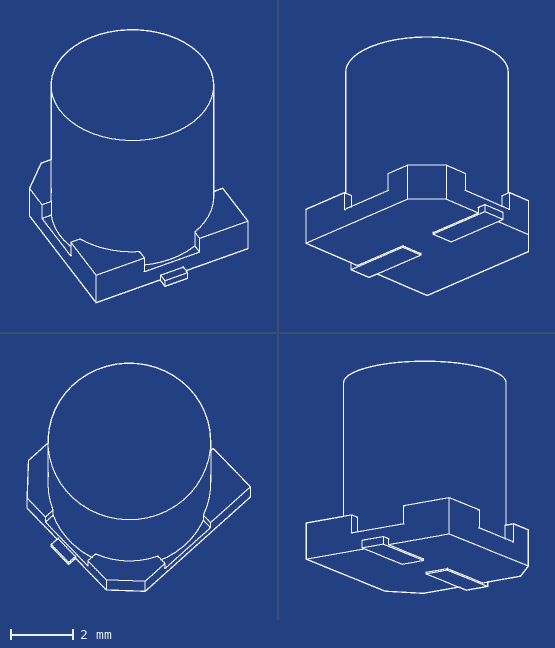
import cadquery as cq

total_height = 6.15
lead_span = 6.1
base_width = 5.51
can_diameter = 5.235

base_bottom = 0.05
base_top = 1.26
corner_cut = 0.885
notch_width = 2.0
notch_floor = 0.66

lead_length = 2.36
lead_width = 0.825
lead_thickness = 0.25


def make_base_block():
    """Square block with both corners on the -X side cut off."""
    block = (
        cq.Workplane("XY")
        .workplane(offset=base_bottom)
        .rect(base_width, base_width)
        .extrude(base_top - base_bottom)
    )
    return block.edges("|Z and <X").chamfer(corner_cut)


def make_cross_notches():
    """Two crossing channels that open the middle of all four side walls."""
    depth = base_top - notch_floor
    plane = cq.Workplane("XY").workplane(offset=notch_floor)
    along_x = plane.rect(base_width, notch_width).extrude(depth)
    along_y = plane.rect(notch_width, base_width).extrude(depth)
    return along_x.union(along_y)


def make_can():
    """Plain cylinder standing on the floor of the base recess."""
    return (
        cq.Workplane("XY")
        .workplane(offset=notch_floor)
        .circle(can_diameter / 2)
        .extrude(total_height - notch_floor)
    )


def make_lead(side):
    """Flat lead reaching inward from the +X (side = 1) or -X (side = -1) end."""
    center_x = side * (lead_span - lead_length) / 2
    return (
        cq.Workplane("XY")
        .center(center_x, 0)
        .rect(lead_length, lead_width)
        .extrude(lead_thickness)
    )


can = make_can()
leads = [make_lead(side) for side in (-1, 1)]

base = make_base_block().cut(make_cross_notches()).cut(can)
for lead in leads:
    base = base.cut(lead)

result = cq.Compound.makeCompound([base.val(), can.val(), *[lead.val() for lead in leads]])